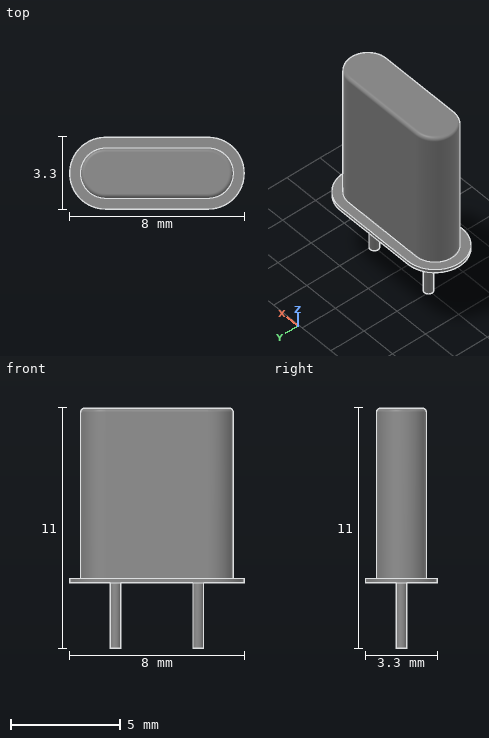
import cadquery as cq

total_height = 11.0
flange_length = 8.0
flange_width = 3.3

flange_thickness = 0.2
can_width = 2.3
can_top_radius = 0.2
rim = (flange_width - can_width) / 2
can_length = flange_length - 2 * rim

pin_diameter = 0.5
pin_length = 3.0
pin_spacing = 3.78

can_height = total_height - pin_length - flange_thickness


def rounded_slab(length, width, height, bottom):
    """Upright slab with fully rounded ends, standing on the level 'bottom'."""
    return cq.Workplane("XY").workplane(offset=bottom).slot2D(length, width).extrude(height)


flange = rounded_slab(flange_length, flange_width, flange_thickness, 0)

can = rounded_slab(can_length, can_width, can_height, flange_thickness)
can = can.faces(">Z").edges().fillet(can_top_radius)

pins = (
    cq.Workplane("XY")
    .pushPoints([(-pin_spacing / 2, 0), (pin_spacing / 2, 0)])
    .circle(pin_diameter / 2)
    .extrude(-pin_length)
)

result = flange.union(can).union(pins)